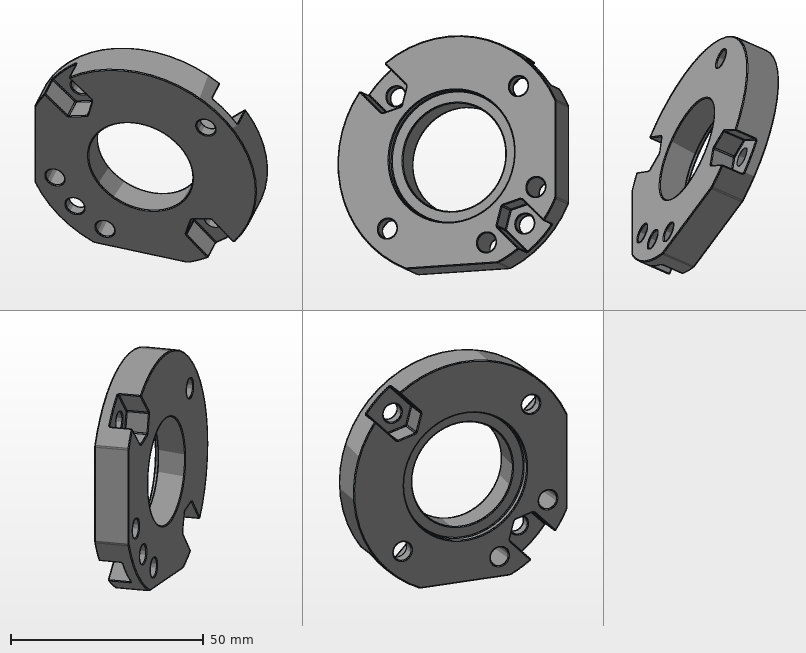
import cadquery as cq
import math

THICKNESS = 9.525
OUTER_RADIUS = 31.75
FLAT_DISTANCE = 29.03
BORE_RADIUS = 14.29
COUNTERBORE_RADIUS = 17.46
COUNTERBORE_DEPTH = 1.9
EDGE_CHAMFER = 0.25

BOLT_CIRCLE_RADIUS = 25.4
HOLE_DIAMETER = 5.1
PLAIN_HOLE_ANGLES = (202.5, 247.5)

NUT_WIDTH = 9.7
HEXAGON_HALF_ANGLE = math.pi / 6
POCKET_DEPTH = 6.35
FRONT_POCKET_ANGLES = (137.2, 314.7)
BACK_POCKET_ANGLES = (45.1, 225.0)
PLAIN_RIM_ANGLE = FRONT_POCKET_ANGLES[1]

FRONT_Y = -THICKNESS / 2
BACK_Y = THICKNESS / 2


def plane_at(y):
    """XZ plane at the given Y, with its normal along +Y and local y along -Z."""
    return cq.Plane(origin=(0, y, 0), xDir=(1, 0, 0), normal=(0, 1, 0))


def polar(radius, angle):
    """Local (x, y) on a plane from plane_at, for an angle from +X toward +Z."""
    turn = math.radians(angle)
    return radius * math.cos(turn), -radius * math.sin(turn)


def make_disc():
    """Round disc cut off by the flats, with the central bore."""
    disc = cq.Workplane(plane_at(FRONT_Y)).circle(OUTER_RADIUS).circle(BORE_RADIUS).extrude(THICKNESS)
    flat_offset = OUTER_RADIUS - FLAT_DISTANCE
    kept_width = 2 * OUTER_RADIUS
    kept = cq.Workplane("XY").box(kept_width, THICKNESS, kept_width).translate((flat_offset, 0, flat_offset))
    return disc.intersect(kept)


def make_counterbore():
    """Wide, shallow recess around the bore, open to the back face."""
    floor = plane_at(BACK_Y - COUNTERBORE_DEPTH)
    return cq.Workplane(floor).circle(COUNTERBORE_RADIUS).extrude(COUNTERBORE_DEPTH)


def make_pocket(angle, start_y):
    """Half hexagon pointing at the plate centre, continued outward past the rim."""
    half_width = NUT_WIDTH / 2
    corner_radius = half_width / math.cos(HEXAGON_HALF_ANGLE)
    outline = [
        (OUTER_RADIUS + half_width, half_width),
        (BOLT_CIRCLE_RADIUS - corner_radius / 2, half_width),
        (BOLT_CIRCLE_RADIUS - corner_radius, 0),
        (BOLT_CIRCLE_RADIUS - corner_radius / 2, -half_width),
        (OUTER_RADIUS + half_width, -half_width),
    ]
    pocket = cq.Workplane(plane_at(start_y)).polyline(outline).close().extrude(POCKET_DEPTH)
    return pocket.rotate((0, 0, 0), (0, 1, 0), -angle)


def make_holes():
    """Straight holes on the bolt circle."""
    angles = PLAIN_HOLE_ANGLES + FRONT_POCKET_ANGLES + BACK_POCKET_ANGLES
    centres = [polar(BOLT_CIRCLE_RADIUS, angle) for angle in angles]
    return cq.Workplane(plane_at(FRONT_Y)).pushPoints(centres).circle(HOLE_DIAMETER / 2).extrude(THICKNESS)


def is_chamfered(edge, faces):
    """False for cylinder seams, which lie on one face only, and for the plain hole rim."""
    face_count = sum(any(edge.isSame(other) for other in face.Edges()) for face in faces)
    local_x, local_y = polar(BOLT_CIRCLE_RADIUS, PLAIN_RIM_ANGLE)
    plain_rim_centre = plane_at(FRONT_Y + POCKET_DEPTH).toWorldCoords((local_x, local_y))
    is_plain_rim = (edge.Center() - plain_rim_centre).Length < EDGE_CHAMFER
    return face_count > 1 and not is_plain_rim


def chamfer_edges(plate):
    """Break every edge, outer and inner, by the same amount."""
    faces = plate.faces().vals()
    edges = [edge for edge in plate.edges().vals() if is_chamfered(edge, faces)]
    return plate.newObject(edges).chamfer(EDGE_CHAMFER)


plate = make_disc().cut(make_holes()).cut(make_counterbore())
for pocket_angle in FRONT_POCKET_ANGLES:
    plate = plate.cut(make_pocket(pocket_angle, FRONT_Y))
for pocket_angle in BACK_POCKET_ANGLES:
    plate = plate.cut(make_pocket(pocket_angle, BACK_Y - POCKET_DEPTH))

result = cq.Workplane(chamfer_edges(plate).solids().val())